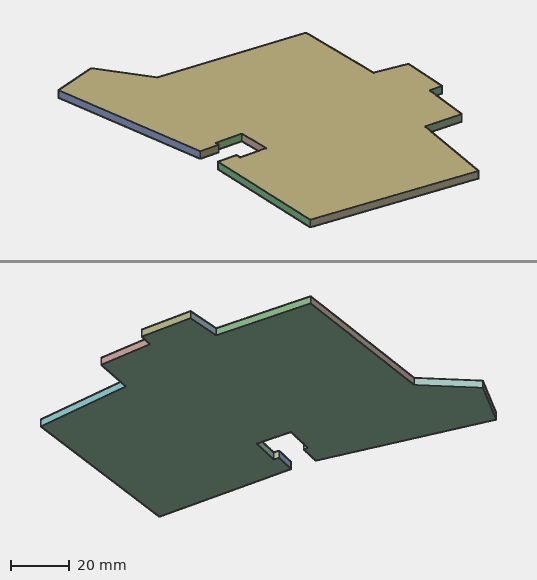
import cadquery as cq

length = 141.2
width = 106.3
thickness = 3.0

neck_left = 71.6
neck_right = 81.3
pocket_left = 69.9
pocket_right = 83.5
slot_mouth_y = 10.5
shoulder_y = 18.5
slot_end_y = 29.6

upper_left_edge_y = 92.9
tab_step_x = 83.7

slot_corners = [
    (neck_left, slot_mouth_y),
    (neck_left, shoulder_y),
    (pocket_left, shoulder_y),
    (pocket_left, slot_end_y),
    (pocket_right, slot_end_y),
    (pocket_right, shoulder_y),
    (neck_right, shoulder_y),
    (neck_right, slot_mouth_y),
]

right_side_corners = [
    (134.7, 8.9),
    (length, 76.5),
]

tab_corners = [
    (103.9, 82.3),
    (104.3, 97.8),
    (tab_step_x, 100.0),
    (tab_step_x, 105.3),
    (63.7, width),
    (61.5, upper_left_edge_y),
]

left_side_corners = [
    (24.0, upper_left_edge_y),
    (19.2, 32.5),
    (0.0, 18.9),
    (6.1, 0.0),
]

outline = slot_corners + right_side_corners + tab_corners + left_side_corners

result = (
    cq.Workplane("XY", origin=(-length / 2, -width / 2, 0))
    .polyline(outline)
    .close()
    .extrude(thickness)
)